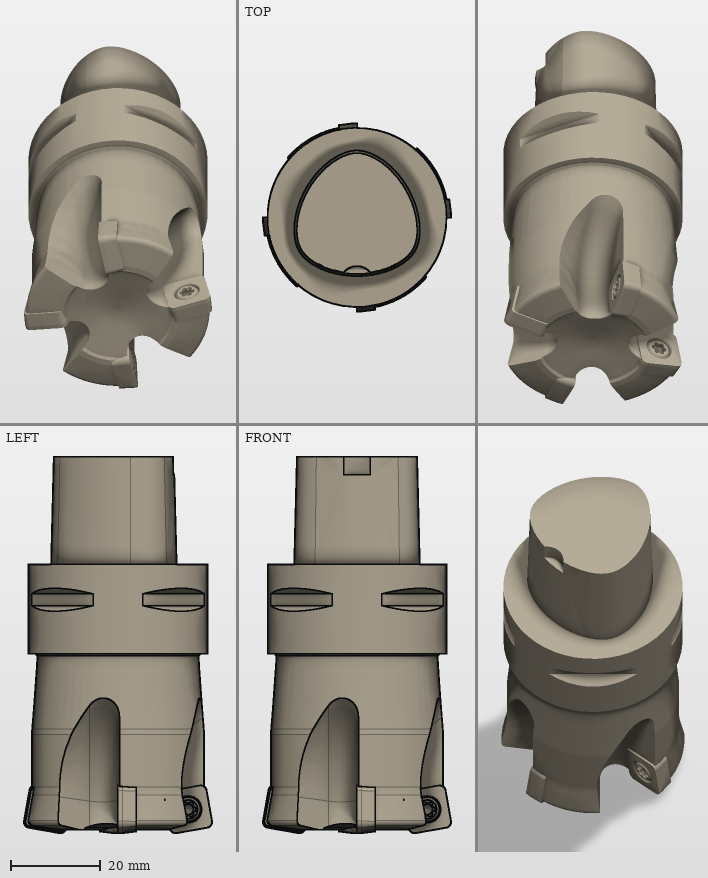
import cadquery as cq
import math

TOOTH_COUNT = 4
TOOTH_PITCH = 360 / TOOTH_COUNT

TOTAL_LENGTH = 84.0
SHANK_LENGTH = 24.0
FLANGE_HEIGHT = 20.0
FLANGE_TOP = TOTAL_LENGTH - SHANK_LENGTH
FLANGE_BOTTOM = FLANGE_TOP - FLANGE_HEIGHT

SHANK_DIAMETER = 28.05
SHANK_LOBE = 0.9
SHANK_TAPER = 1 / 20
LOBE_COUNT = 3
LOBE_PITCH = 360 / LOBE_COUNT
FLAT_HALF_ANGLE = 30.0
POINTS_PER_ARC = 9
NOTCH_RADIUS = 3.7
NOTCH_DEPTH = 4.0
NOTCH_INNER_Y = -10.8

FLANGE_RADIUS = 20.0
FLANGE_CHAMFER = 0.4
GROOVE_DEPTH = 2.5
GROOVE_FLOOR_HEIGHT = 2.6
GROOVE_MOUTH_HEIGHT = 5.1
GROOVE_Z = 52.1
GROOVE_PHASE = 45.0

NECK_TOP_RADIUS = 18.0
NECK_MID_RADIUS = 18.5
NECK_MID_Z = 31.9
NECK_BOTTOM_RADIUS = 19.15
NECK_BOTTOM_Z = 23.35
HEAD_RADIUS = 19.2
HEAD_TOP_Z = 22.1
FLARE_TOP_Z = 10.3
FLARE_START_RADIUS = 19.4
FLARE_START_Z = 8.6
RIM_RADIUS = 20.6
RIM_Z = 1.9
RIM_FILLET = 1.0
FACE_Z = 0.75
FACE_OUTER_RADIUS = 13.8
FACE_INNER_RADIUS = 12.35
RECESS_RADIUS = 11.8
RECESS_EDGE_Z = 1.3
RECESS_CENTRE_Z = 4.0

FLUTE_WALL_X = 0.3
FLUTE_RADIUS = 3.95
FLUTE_CENTRE_Y = -10.6
FLUTE_BACK_ANGLE = 45.0
FLUTE_REACH = 21.8
FLUTE_STRAIGHT_TOP = 7.05
FLUTE_STRAIGHT_LENGTH = 16.8
FLUTE_RUNOUT_RADIUS = 22.7
FLUTE_LEAN = 8.0

INSERT_SIDE = 9.6
INSERT_CORNER = 1.35
INSERT_TILT = 10.0
INSERT_FACE_OFFSET = 0.1
INSERT_LAND = 1.0
INSERT_THICKNESS = 4.1
INSERT_RELIEF_ANGLE = 7.0
CUTTING_RADIUS = 21.0

SEAT_RADIUS = 6.0 / 2
HEAD_EDGE_RADIUS = 5.5 / 2
HEAD_CROWN_RADIUS = 4.2 / 2
HEAD_EDGE_DEPTH = 0.6
SOCKET_RADIUS = 3.5 / 2
SOCKET_CORE_RADIUS = 1.2
SOCKET_LOBES = 6
SOCKET_DEPTH = 1.3
SOCKET_TIP_DEPTH = 2.1

TILT = math.radians(INSERT_TILT)
CORNER_REACH = (INSERT_SIDE / 2 - INSERT_CORNER) * (math.cos(TILT) + math.sin(TILT)) + INSERT_CORNER
INSERT_X = CUTTING_RADIUS - CORNER_REACH
INSERT_Z = CORNER_REACH


def around_axis(shape, index, phase=0.0):
    """The shape turned about the tool axis to tooth number `index`."""
    return shape.rotate((0, 0, 0), (0, 0, 1), phase + index * TOOTH_PITCH)


def shank_point(angle, z):
    """A point of the polygon outline; angle 0 is the middle of the flat side at -Y."""
    t = math.radians(angle)
    mean_radius = (SHANK_DIAMETER - SHANK_TAPER * (z - FLANGE_TOP)) / 2
    along = mean_radius * math.cos(t) - 2 * SHANK_LOBE * math.cos(2 * t) + SHANK_LOBE * math.cos(4 * t)
    across = mean_radius * math.sin(t) + 2 * SHANK_LOBE * math.sin(2 * t) + SHANK_LOBE * math.sin(4 * t)
    return cq.Vector(across, -along, z)


def shank_wire(z):
    """Closed polygon outline at height z: three flat sides alternating with three lobes."""
    breaks = []
    for lobe in range(LOBE_COUNT + 1):
        breaks += [lobe * LOBE_PITCH - FLAT_HALF_ANGLE, lobe * LOBE_PITCH + FLAT_HALF_ANGLE]
    edges = []
    for start, end in zip(breaks[:-2], breaks[1:-1]):
        step = (end - start) / (POINTS_PER_ARC - 1)
        edges.append(cq.Edge.makeSpline([shank_point(start + i * step, z) for i in range(POINTS_PER_ARC)]))
    return cq.Wire.assembleEdges(edges)


def make_shank():
    """Tapered polygon shank with a round notch in the top edge of its -Y side."""
    shank = cq.Workplane(cq.Solid.makeLoft([shank_wire(FLANGE_TOP), shank_wire(TOTAL_LENGTH)], True))
    notch = (
        cq.Workplane("XY", origin=(0, NOTCH_INNER_Y - NOTCH_RADIUS, TOTAL_LENGTH - NOTCH_DEPTH))
        .circle(NOTCH_RADIUS)
        .extrude(NOTCH_DEPTH)
    )
    return shank.cut(notch)


def make_turned_body():
    """Flange, neck and cutting head as one turned profile (radius, height)."""
    neck_step = FLANGE_BOTTOM - FLANGE_CHAMFER
    body = (
        cq.Workplane("XZ")
        .moveTo(0, RECESS_CENTRE_Z)
        .lineTo(RECESS_RADIUS, RECESS_EDGE_Z)
        .lineTo(FACE_INNER_RADIUS, FACE_Z)
        .lineTo(FACE_OUTER_RADIUS, FACE_Z)
        .lineTo(RIM_RADIUS, RIM_Z)
        .lineTo(FLARE_START_RADIUS, FLARE_START_Z)
        .tangentArcPoint((HEAD_RADIUS, FLARE_TOP_Z), relative=False)
        .lineTo(HEAD_RADIUS, HEAD_TOP_Z)
        .lineTo(NECK_BOTTOM_RADIUS, NECK_BOTTOM_Z)
        .threePointArc((NECK_MID_RADIUS, NECK_MID_Z), (NECK_TOP_RADIUS, neck_step))
        .lineTo(NECK_TOP_RADIUS + FLANGE_CHAMFER, FLANGE_BOTTOM)
        .lineTo(FLANGE_RADIUS, FLANGE_BOTTOM)
        .lineTo(FLANGE_RADIUS, FLANGE_TOP)
        .lineTo(0, FLANGE_TOP)
        .close()
        .revolve(360, (0, 0, 0), (0, 1, 0))
    )
    rim_centre = cq.selectors.NearestToPointSelector((0, 0, RIM_Z))
    return body.edges("%CIRCLE").edges(rim_centre).fillet(RIM_FILLET)


def make_groove():
    """Gripper groove with sloping sides, cut into the +X side of the flange."""
    floor_x = FLANGE_RADIUS - GROOVE_DEPTH
    half_floor = GROOVE_FLOOR_HEIGHT / 2
    half_mouth = GROOVE_MOUTH_HEIGHT / 2
    return (
        cq.Workplane("XZ", origin=(0, 0, GROOVE_Z))
        .polyline([
            (floor_x, -half_floor),
            (FLANGE_RADIUS, -half_mouth),
            (FLANGE_RADIUS, half_mouth),
            (floor_x, half_floor),
        ])
        .close()
        .extrude(FLANGE_RADIUS, both=True)
    )


def flute_section():
    """Flat wall, round root and sloping back, open towards -Y, at the top of the straight part."""
    back = math.radians(FLUTE_BACK_ANGLE)
    centre_x = FLUTE_WALL_X - FLUTE_RADIUS
    back_start = (
        centre_x - FLUTE_RADIUS * math.sin(back),
        FLUTE_CENTRE_Y + FLUTE_RADIUS * math.cos(back),
    )
    root_top = (centre_x, FLUTE_CENTRE_Y + FLUTE_RADIUS)
    outer_y = -FLUTE_REACH
    back_end_x = back_start[0] - (back_start[1] - outer_y) / math.tan(back)
    return (
        cq.Workplane("XY", origin=(0, 0, FLUTE_STRAIGHT_TOP))
        .moveTo(FLUTE_WALL_X, outer_y)
        .lineTo(FLUTE_WALL_X, FLUTE_CENTRE_Y)
        .threePointArc(root_top, back_start)
        .lineTo(back_end_x, outer_y)
        .close()
    )


def make_flute():
    """Straight channel leaning inwards as it rises, then curving outwards at its upper end."""
    root_y = FLUTE_CENTRE_Y + FLUTE_RADIUS
    runout_y = root_y - FLUTE_RUNOUT_RADIUS
    straight = flute_section().extrude(-FLUTE_STRAIGHT_LENGTH)
    runout = flute_section().revolve(90, (0, runout_y, 0), (1, runout_y, 0))
    hinge = cq.Vector(0, root_y, FLUTE_STRAIGHT_TOP)
    return straight.union(runout).rotate(hinge, hinge + cq.Vector(0.8, 0, 0), -FLUTE_LEAN)


def make_insert_blank():
    """Square insert on the +X side, cutting face towards -Y, straight land then tapering relief."""
    def outline(depth):
        return (
            cq.Workplane("XZ", origin=(INSERT_X, depth - INSERT_FACE_OFFSET, INSERT_Z))
            .transformed(rotate=(0, 0, INSERT_TILT))
            .sketch()
            .rect(INSERT_SIDE, INSERT_SIDE)
            .vertices()
            .fillet(INSERT_CORNER)
            .finalize()
        )

    land = outline(0).extrude(-INSERT_LAND)
    relief = outline(INSERT_LAND).extrude(INSERT_LAND - INSERT_THICKNESS, taper=INSERT_RELIEF_ANGLE)
    return land.union(relief)


def make_screw_recess():
    """Ring-shaped gap around the domed screw head, and its six-lobed socket with a pointed bottom."""
    centre = (INSERT_X, -INSERT_FACE_OFFSET, INSERT_Z)
    ring = (
        cq.Workplane("XY", origin=centre)
        .polyline([(SEAT_RADIUS, 0), (HEAD_EDGE_RADIUS, HEAD_EDGE_DEPTH), (HEAD_CROWN_RADIUS, 0)])
        .close()
        .revolve(360, (0, 0, 0), (0, 1, 0))
    )
    core = (
        cq.Workplane("XY", origin=centre)
        .lineTo(SOCKET_CORE_RADIUS, 0)
        .lineTo(SOCKET_CORE_RADIUS, SOCKET_DEPTH)
        .lineTo(0, SOCKET_TIP_DEPTH)
        .close()
        .revolve(360, (0, 0, 0), (0, 1, 0))
    )
    lobes = (
        cq.Workplane("XZ", origin=centre)
        .polarArray(SOCKET_CORE_RADIUS, 0, 360, SOCKET_LOBES)
        .circle(SOCKET_RADIUS - SOCKET_CORE_RADIUS)
        .extrude(-SOCKET_DEPTH)
    )
    return ring.union(core).union(lobes)


def make_holder():
    """Turned body and shank, with the grooves, flutes and insert pockets cut at every tooth."""
    holder = make_turned_body().union(make_shank())
    groove = make_groove()
    flute = make_flute()
    pocket = make_insert_blank()
    for index in range(TOOTH_COUNT):
        holder = holder.cut(around_axis(groove, index, GROOVE_PHASE))
        holder = holder.cut(around_axis(flute, index))
        holder = holder.cut(around_axis(pocket, index))
    return holder


def make_insert():
    """Insert in one piece with its screw head."""
    return make_insert_blank().cut(make_screw_recess())


holder = make_holder()
insert = make_insert()
inserts = [around_axis(insert, index).solids().val() for index in range(TOOTH_COUNT)]

result = cq.Compound.makeCompound([*holder.solids().vals(), *inserts])